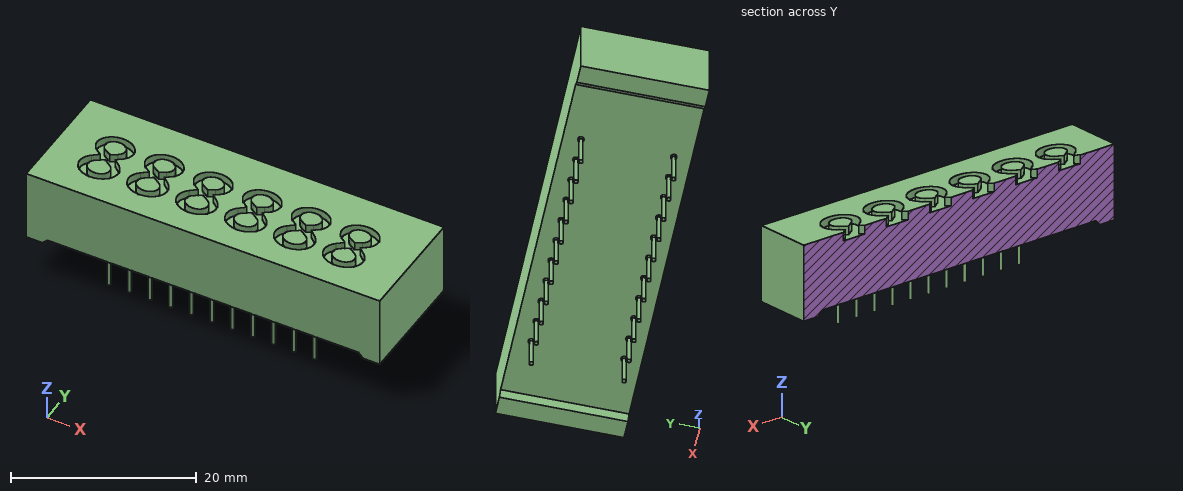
import cadquery as cq
import math

body_length = 43.7
body_width = 14.2
body_height = 8.95
foot_length = 2.05
recess_depth = 0.6

total_height = 13.3
pin_diameter = 0.45
pins_per_row = 11
pin_row_length = 25.4
row_spacing = 10.23
collar_diameter = 0.65
collar_height = 0.2

digit_count = 6
digit_row_length = 30.25
digits_center_x = -0.4
digit_depth = 1.0
upper_loop_y = 1.3
lower_loop_y = -2.3
upper_outer = (2.25, 1.75, 2.35)
upper_island = (1.25, 1.0, 1.22)
lower_outer = (2.35, 1.9, 2.7)
lower_island = (1.35, 1.05, 1.4)

recess_z = recess_depth
pin_tip_z = body_height - total_height
digit_floor_z = body_height - digit_depth
pin_pitch = pin_row_length / (pins_per_row - 1)
digit_pitch = digit_row_length / (digit_count - 1)


def make_body():
    foot_end = body_length / 2 - foot_length
    recess_end = foot_end - recess_depth
    half_length = body_length / 2
    return (
        cq.Workplane("XZ")
        .moveTo(-half_length, 0)
        .lineTo(-foot_end, 0)
        .lineTo(-recess_end, recess_z)
        .lineTo(recess_end, recess_z)
        .lineTo(foot_end, 0)
        .lineTo(half_length, 0)
        .lineTo(half_length, body_height)
        .lineTo(-half_length, body_height)
        .close()
        .extrude(body_width / 2, both=True)
    )


def make_pins():
    """All pins, each widening in a short cone where it meets the recess floor."""
    pin_radius = pin_diameter / 2
    collar_radius = collar_diameter / 2
    pin = (
        cq.Workplane("XZ")
        .moveTo(0, pin_tip_z)
        .lineTo(pin_radius, pin_tip_z)
        .lineTo(pin_radius, recess_z - collar_height)
        .lineTo(collar_radius, recess_z)
        .lineTo(0, recess_z)
        .close()
        .revolve(360, (0, 0), (0, 1))
        .val()
    )
    return cq.Workplane("XY").rarray(pin_pitch, row_spacing, pins_per_row, 2).eachpoint(pin, True)


def make_loop(outline, center_y, turn):
    """Upright teardrop prism: an ellipse whose two tangents meet at a point on the -Y side.

    A turn of 180 degrees puts the point on the +Y side.
    """
    half_width, half_height, point_distance = outline
    touch_angle = math.degrees(math.asin(half_height / point_distance))
    return (
        cq.Workplane("XY")
        .ellipseArc(half_width, half_height, -touch_angle, 180 + touch_angle, startAtCurrent=False)
        .lineTo(0, -point_distance)
        .close()
        .extrude(digit_depth)
        .rotate((0, 0, 0), (0, 0, 1), turn)
        .translate((0, center_y, digit_floor_z))
    )


def make_digits():
    """Cutter for the row of digits; the crossing points of the outer loops form each waist."""
    digit = (
        make_loop(upper_outer, upper_loop_y, 0)
        .union(make_loop(lower_outer, lower_loop_y, 180))
        .cut(make_loop(upper_island, upper_loop_y, 0))
        .cut(make_loop(lower_island, lower_loop_y, 180))
        .val()
    )
    return (
        cq.Workplane("XY")
        .center(digits_center_x, 0)
        .rarray(digit_pitch, 0.45, digit_count, 1)
        .eachpoint(digit, True)
    )


result = make_body().cut(make_digits()).union(make_pins())